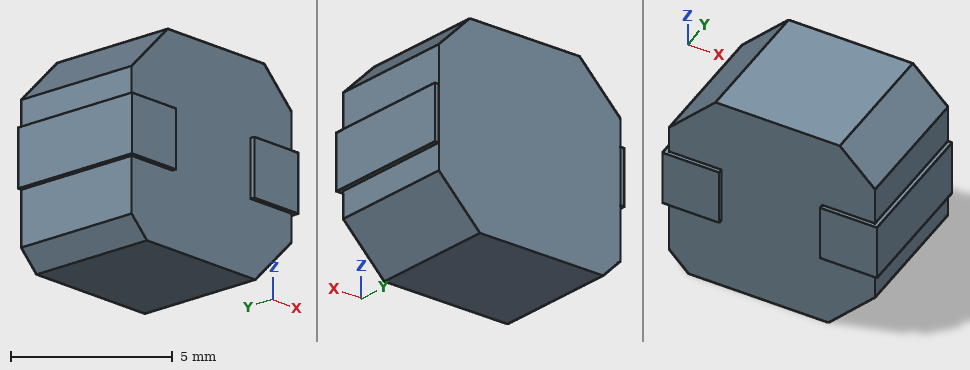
import cadquery as cq

overall_width = 7.6
overall_depth = 4.8
body_height = 7.2

terminal_thickness = 0.15
terminal_height = 2.0
terminal_front_leg = 2.015
terminal_back_setback = 0.01

large_cut = 1.65
upper_right_cut = 1.25
lower_left_cut = 0.7

half_width = overall_width / 2
half_body_width = half_width - terminal_thickness
half_height = body_height / 2
back_y = overall_depth / 2
front_y = -back_y
body_front_y = front_y + terminal_thickness
terminal_back_y = back_y - terminal_back_setback


def make_body():
    """Block with four unequal corner cuts, extruded from front to back."""
    outline = [
        (-half_body_width + lower_left_cut, -half_height),
        (half_body_width - large_cut, -half_height),
        (half_body_width, -half_height + large_cut),
        (half_body_width, half_height - upper_right_cut),
        (half_body_width - upper_right_cut, half_height),
        (-half_body_width + large_cut, half_height),
        (-half_body_width, half_height - large_cut),
        (-half_body_width, -half_height + lower_left_cut),
    ]
    return (
        cq.Workplane("XZ", origin=(0, body_front_y, 0))
        .polyline(outline)
        .close()
        .extrude(-(back_y - body_front_y))
    )


def make_terminal(side):
    """L-shaped strip on one side of the body; side is -1 (left) or 1 (right)."""
    outer_x = side * half_width
    inner_x = side * half_body_width
    leg_end_x = side * (half_width - terminal_front_leg)
    profile = [
        (outer_x, front_y),
        (leg_end_x, front_y),
        (leg_end_x, body_front_y),
        (inner_x, body_front_y),
        (inner_x, terminal_back_y),
        (outer_x, terminal_back_y),
    ]
    return (
        cq.Workplane("XY", origin=(0, 0, -terminal_height / 2))
        .polyline(profile)
        .close()
        .extrude(terminal_height)
    )


body = make_body()
terminals = [make_terminal(side) for side in (-1, 1)]

result = cq.Compound.makeCompound([body.val(), *[terminal.val() for terminal in terminals]])